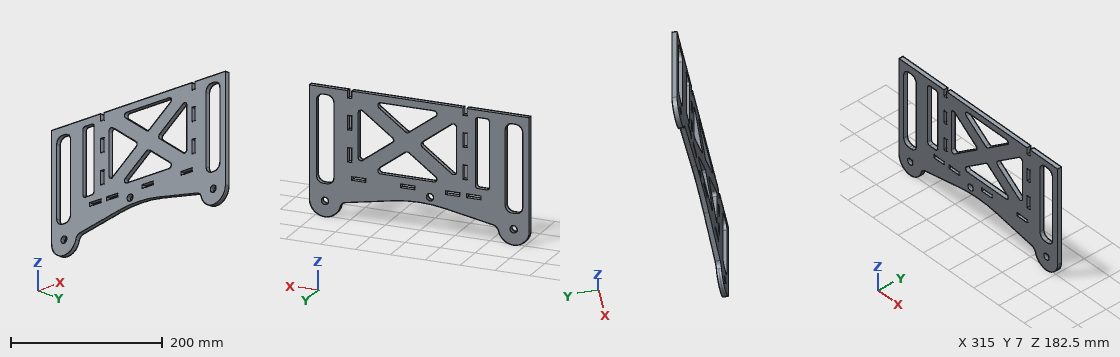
import cadquery as cq
import math

LENGTH = 315.0
HEIGHT = 182.5
THICKNESS = 7.0

FOOT_RADIUS = 22.5
FOOT_Z = FOOT_RADIUS - HEIGHT
FOOT_XS = (FOOT_RADIUS, LENGTH - FOOT_RADIUS)
FOOT_BLEND_RADIUS = 10.0

ARCH_PEAK_Z = -138.5
ARCH_SLOPE = 0.185
ARCH_RADIUS = 204.8

HOLE_DIAMETER = 10.0
CENTER_HOLE = (142.0, -132.5)

END_SLOT_WIDTH = 25.0
END_SLOT_HEIGHT = 125.5
END_SLOT_CORNER = 10.0
END_SLOT_CENTERS = ((21.9, -74.8), (292.3, -72.92))

WINDOW_TOP = -10.5
WINDOW_HEIGHT = 100.0
WINDOW_Z = WINDOW_TOP - WINDOW_HEIGHT / 2
WINDOW_CORNER = 4.0
SIDE_WINDOW_WIDTH = 20.2
SIDE_WINDOW_X = 66.95

LATTICE_X = 174.5
LATTICE_WIDTH = 140.8
BAR_WIDTH = 20.2
BAR_ANGLE = math.radians(36.5)

TAB_LENGTH = 20.2
UPRIGHT_TAB_WIDTH = 5.7
UPRIGHT_TAB_OFFSET = 82.5
UPRIGHT_TAB_XS = (LATTICE_X - UPRIGHT_TAB_OFFSET, LATTICE_X + UPRIGHT_TAB_OFFSET)
UPRIGHT_TAB_ZS = (-45.0, -90.5)
FLAT_TAB_WIDTH = 5.0
FLAT_TAB_XS = (79.5, 109.5, 174.2, 244.5)
FLAT_TAB_Z = -123.0
NOTCH_DEPTH = 10.5


def extrude(sketch):
    """Give a closed XZ outline the plate thickness, centred on Y = 0."""
    return sketch.extrude(THICKNESS / 2, both=True)


def box(x, z, width, height, corner=0):
    """Block through the plate, with optional rounded corners."""
    block = extrude(cq.Workplane("XZ").center(x, z).rect(width, height))
    return block.edges("|Y").fillet(corner) if corner else block


def disc(x, z, radius):
    return extrude(cq.Workplane("XZ").center(x, z).circle(radius))


def edges_near(body, x, z, reach):
    """Through-thickness edges of the body close to the point (x, z)."""
    area = cq.selectors.BoxSelector(
        (x - reach, -THICKNESS, z - reach), (x + reach, THICKNESS, z + reach), boundingbox=True
    )
    return body.edges("|Y").edges(area)


def arch_z(x):
    """Level of the sloping lower edge before its peak is rounded."""
    return ARCH_PEAK_Z - ARCH_SLOPE * abs(x - LENGTH / 2)


def make_plate():
    left, right = FOOT_XS
    outline = [
        (0, 0),
        (0, FOOT_Z),
        (left, FOOT_Z),
        (left, arch_z(left)),
        (LENGTH / 2, ARCH_PEAK_Z),
        (right, arch_z(right)),
        (right, FOOT_Z),
        (LENGTH, FOOT_Z),
        (LENGTH, 0),
    ]
    plate = extrude(cq.Workplane("XZ").polyline(outline).close())
    plate = edges_near(plate, LENGTH / 2, ARCH_PEAK_Z, 3).fillet(ARCH_RADIUS)

    for x in FOOT_XS:
        plate = plate.union(disc(x, FOOT_Z, FOOT_RADIUS))

    for x, inward in zip(FOOT_XS, (1, -1)):
        corner_x = x + inward * FOOT_RADIUS
        plate = edges_near(plate, corner_x, FOOT_Z, FOOT_RADIUS / 2).fillet(FOOT_BLEND_RADIUS)
    return plate


def triangle(tip, base_left, base_right):
    """Triangular opening with rounded corners."""
    block = extrude(cq.Workplane("XZ").polyline([tip, base_left, base_right]).close())
    return block.edges("|Y").fillet(WINDOW_CORNER)


def make_lattice_openings():
    """Four triangles left between the crossed bars and the window frame."""
    slope = math.tan(BAR_ANGLE)
    tip_dx = BAR_WIDTH / 2 / math.sin(BAR_ANGLE)
    tip_dz = BAR_WIDTH / 2 / math.cos(BAR_ANGLE)
    half_width = LATTICE_WIDTH / 2
    half_height = WINDOW_HEIGHT / 2
    side_rise = (half_width - tip_dx) * slope
    cap_reach = (half_height - tip_dz) / slope

    openings = []
    for sign in (1, -1):
        side_x = LATTICE_X + sign * half_width
        openings.append(triangle(
            (LATTICE_X + sign * tip_dx, WINDOW_Z),
            (side_x, WINDOW_Z - side_rise),
            (side_x, WINDOW_Z + side_rise),
        ))
        cap_z = WINDOW_Z + sign * half_height
        openings.append(triangle(
            (LATTICE_X, WINDOW_Z + sign * tip_dz),
            (LATTICE_X - cap_reach, cap_z),
            (LATTICE_X + cap_reach, cap_z),
        ))
    return openings


def make_windows():
    windows = [
        box(x, z, END_SLOT_WIDTH, END_SLOT_HEIGHT, END_SLOT_CORNER)
        for x, z in END_SLOT_CENTERS
    ]
    windows.append(box(SIDE_WINDOW_X, WINDOW_Z, SIDE_WINDOW_WIDTH, WINDOW_HEIGHT, WINDOW_CORNER))
    return windows + make_lattice_openings()


def make_tab_slots():
    slots = [box(x, FLAT_TAB_Z, TAB_LENGTH, FLAT_TAB_WIDTH) for x in FLAT_TAB_XS]
    for x in UPRIGHT_TAB_XS:
        slots.append(box(x, 0, UPRIGHT_TAB_WIDTH, 2 * NOTCH_DEPTH))
        for z in UPRIGHT_TAB_ZS:
            slots.append(box(x, z, UPRIGHT_TAB_WIDTH, TAB_LENGTH))
    return slots


def make_holes():
    centers = [(x, FOOT_Z) for x in FOOT_XS] + [CENTER_HOLE]
    return [disc(x, z, HOLE_DIAMETER / 2) for x, z in centers]


result = make_plate()
for cutter in make_windows() + make_tab_slots() + make_holes():
    result = result.cut(cutter)